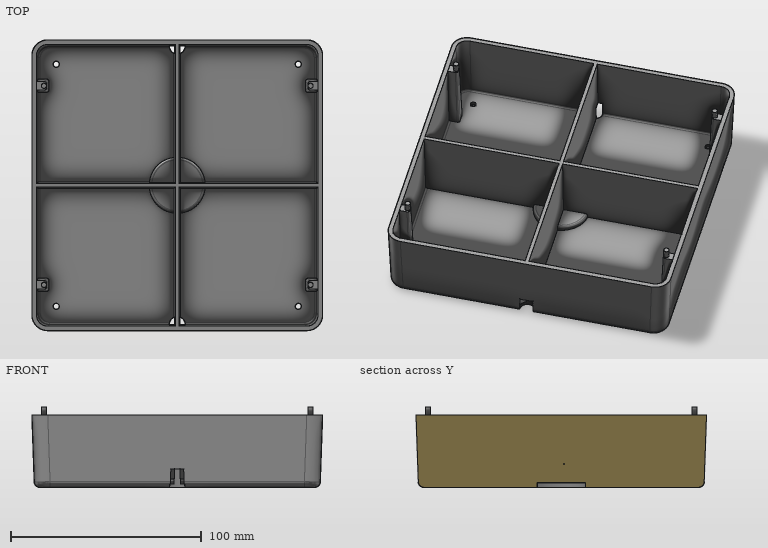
import cadquery as cq
import math

SIDE = 152.4
RIM_HEIGHT = 38.1
RIM_WIDTH = 2.5
FLOOR_THICKNESS = 2.0
OUTER_DRAFT = 2.0
INNER_DRAFT = 1.5
CORNER_RADIUS = 8.4
OUTER_BOTTOM_FILLET = 3.2
INNER_BOTTOM_FILLET = 1.0
CAVITY_DEPTH = RIM_HEIGHT - FLOOR_THICKNESS

BURIED_INSET = 2.0
INNER_SPAN = SIDE - 2 * BURIED_INSET

DIVIDER_TOP_THICKNESS = 2.0
DIVIDER_DRAFT = 1.0

POST_SPACING = 104.2
POST_TOP_WIDTH = 4.4
POST_TOP_REACH = 7.8
POST_DRAFT = 2.0
POST_FILLET = 1.2
POST_TOP_DROP = 0.2
POST_TOP = RIM_HEIGHT - POST_TOP_DROP
PIN_DIAMETER = 2.7
PIN_SPACING = 139.6
PIN_RISE = 4.1
PIN_TOP = RIM_HEIGHT + PIN_RISE

HOLE_DIAMETER = 3.0
HOLE_SPACING = 126.8

DISC_DIAMETER = 29.4
RECESS_DIAMETER = 25.1
DISC_RISE = 2.5
DISC_FILLET = 1.4

NOTCH_RADIUS = 4.1
NOTCH_INSET = 3.4
NOTCH_HEIGHT = 9.8


def draft_offset(height, angle):
    """Sideways shift of a face drafted by the given angle over the given height."""
    return height * math.tan(math.radians(angle))


def tapered_block(side, corner_radius, depth, draft, bottom_fillet):
    """Rounded square block that hangs from the rim plane and narrows downwards."""
    block = cq.Workplane("XY", origin=(0, 0, RIM_HEIGHT)).rect(side, side).extrude(-depth, taper=draft)
    block = block.edges("not(#Z)").fillet(corner_radius)
    return block.faces("<Z").edges().fillet(bottom_fillet)


def make_shell():
    outside = tapered_block(SIDE, CORNER_RADIUS, RIM_HEIGHT, OUTER_DRAFT, OUTER_BOTTOM_FILLET)
    cavity = tapered_block(
        SIDE - 2 * RIM_WIDTH, CORNER_RADIUS - RIM_WIDTH, CAVITY_DEPTH, INNER_DRAFT, INNER_BOTTOM_FILLET
    )
    return outside.cut(cavity)


def make_dividers():
    half_top = DIVIDER_TOP_THICKNESS / 2
    half_bottom = half_top + draft_offset(CAVITY_DEPTH, DIVIDER_DRAFT)
    along_y = (
        cq.Workplane("XZ")
        .moveTo(-half_bottom, FLOOR_THICKNESS)
        .lineTo(half_bottom, FLOOR_THICKNESS)
        .lineTo(half_top, RIM_HEIGHT)
        .lineTo(-half_top, RIM_HEIGHT)
        .close()
        .extrude(INNER_SPAN / 2, both=True)
    )
    along_x = along_y.rotate((0, 0, 0), (0, 0, 1), 90)
    return along_y.union(along_x)


def make_post():
    """Post and pin on the +X wall, centred on Y = 0."""
    base_z = FLOOR_THICKNESS / 2
    height = POST_TOP - base_z
    spread = draft_offset(height, POST_DRAFT)
    half_length = POST_TOP_REACH + spread
    post = (
        cq.Workplane("XY", origin=(SIDE / 2, 0, base_z))
        .rect(2 * half_length, POST_TOP_WIDTH + 2 * spread)
        .extrude(height, taper=POST_DRAFT)
        .faces("<X")
        .edges("not(#Z)")
        .fillet(POST_FILLET)
    )
    wall_limit = cq.Workplane("XY").box(INNER_SPAN, INNER_SPAN, 2 * RIM_HEIGHT)
    pin = (
        cq.Workplane("XY", origin=(PIN_SPACING / 2, 0, base_z))
        .circle(PIN_DIAMETER / 2)
        .extrude(PIN_TOP - base_z)
    )
    return post.intersect(wall_limit).union(pin)


def make_disc():
    disc = cq.Workplane("XY").circle(DISC_DIAMETER / 2).extrude(FLOOR_THICKNESS + DISC_RISE)
    return disc.faces(">Z").edges().fillet(DISC_FILLET)


def make_disc_recess():
    return cq.Workplane("XY").circle(RECESS_DIAMETER / 2).extrude(DISC_RISE)


def make_screw_holes():
    return (
        cq.Workplane("XY")
        .rect(HOLE_SPACING, HOLE_SPACING, forConstruction=True)
        .vertices()
        .circle(HOLE_DIAMETER / 2)
        .extrude(FLOOR_THICKNESS)
    )


def make_notches():
    centre_y = SIDE / 2 - NOTCH_INSET
    return (
        cq.Workplane("XY")
        .pushPoints([(0, centre_y), (0, -centre_y)])
        .circle(NOTCH_RADIUS)
        .extrude(NOTCH_HEIGHT)
    )


result = make_shell().union(make_dividers()).union(make_disc())

for post_y in (-POST_SPACING / 2, POST_SPACING / 2):
    post_on_right = make_post().translate((0, post_y, 0))
    post_on_left = post_on_right.mirror("YZ")
    result = result.union(post_on_right).union(post_on_left)

result = result.cut(make_disc_recess()).cut(make_screw_holes()).cut(make_notches())